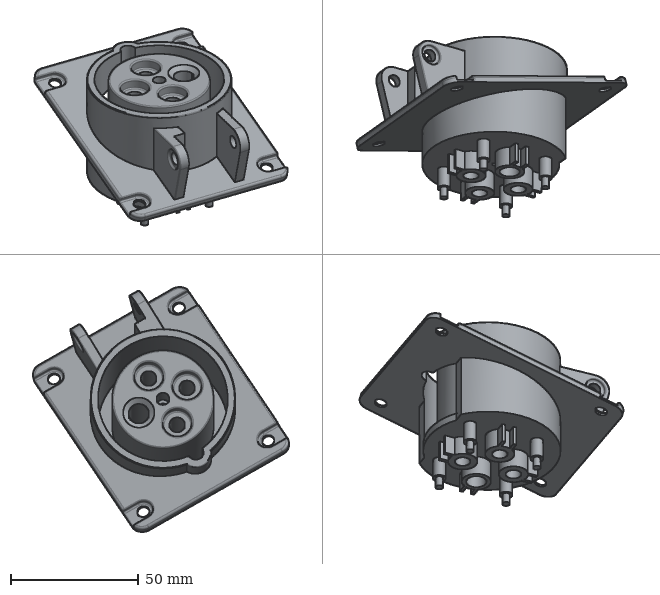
import cadquery as cq
import math


SHROUD_RADIUS = 28.5
SHROUD_BORE_RADIUS = 25.5
SHROUD_HEIGHT = 42.0
SHROUD_LIP_FILLET = 0.3
KEY_X = -25.4
KEY_OUTER_RADIUS = 6.1
KEY_SLOT_RADIUS = 6.1 / 2
LOWER_CUT_X = -20.7

PLATE_TILT = 15.0
PLATE_AXIS_Z = 21.0
PLATE_LENGTH = 87.6
PLATE_WIDTH = 71.0
PLATE_THICKNESS = 3.0
PLATE_OFFSET = 1.25
PLATE_CORNER_RADIUS = 5.0
PLATE_EDGE_FILLET = 1.0
SCREW_SPACING_LONG = 71.5
SCREW_SPACING_WIDE = 57.0
SCREW_HOLE_DIAMETER = 4.8
POCKET_WIDTH = 8.0
POCKET_FLOOR = 1.0
POCKET_RIM_FILLET = 0.4
POCKET_FLOOR_FILLET = 0.6

LUG_OUTER_Y = 15.6
LUG_THICKNESS = 4.1
LUG_EYE_X = 39.43
LUG_EYE_Z = 31.0
LUG_EYE_RADIUS = 6.0
LUG_HOLE_DIAMETER = 5.0
LUG_RECESS_DIAMETER = 8.2
LUG_RECESS_DEPTH = 1.0
LUG_RECESS_FILLET = 0.25
LUG_EDGE_FILLET = 0.3
LUG_BLOCK_END_X = 33.1
LUG_BLOCK_INNER_Y = 6.7

CORE_RADIUS = 20.0
CORE_TOP_Z = 41.7
CORE_RIM_FILLET = 0.5
BASE_DISC_THICKNESS = 3.2
CONTACT_CIRCLE_RADIUS = 11.0
CONTACT_BORE_DIAMETER = 6.1
CONTACT_RECESS_DIAMETER = 11.5
CONTACT_RECESS_DEPTH = 4.0
CONTACT_RIM_FILLET = 0.6
CONTACT_FLOOR_FILLET = 0.5
EARTH_BORE_DIAMETER = 8.0
EARTH_CONE_DIAMETER = 12.3
EARTH_CONE_DEPTH = 1.6
EARTH_KEY_WIDTH = 1.0
EARTH_KEY_REACH = 4.5
EARTH_KEY_DROP = 0.3
CENTRE_RECESS_DIAMETER = 5.0
CENTRE_RECESS_DEPTH = 10.0
CENTRE_HOLE_DIAMETER = 2.0

TUBE_DIAMETER = 11.5
TUBE_LENGTH = 8.0
FIN_REACH = 20.0
FIN_INNER_FACE = 1.75
FIN_THICKNESS = 1.3
PIN_OFFSET = 14.45
PIN_SHANK_DIAMETER = 5.0
PIN_SHANK_LENGTH = 8.3
PIN_TIP_DIAMETER = 3.0
PIN_LENGTH = 12.5

TILT = math.radians(PLATE_TILT)
OVERSIZE = 120.0

CONTACT_ANGLES = (0, 180, 270)
EARTH_ANGLE = 90


def cylinder(diameter, bottom, top, x=0, y=0):
    """Upright cylinder between two heights."""
    return cq.Workplane("XY", origin=(x, y, bottom)).circle(diameter / 2).extrude(top - bottom)


def tilt_onto_shroud(flat):
    """Place a solid modelled flat on the XY plane into the sloping frame of the plate."""
    return flat.rotate((0, 0, 0), (0, 1, 0), PLATE_TILT).translate((0, 0, PLATE_AXIS_Z))


def make_void():
    """Space above the base disc: the round bore and the key slot beside it."""
    bore = cylinder(2 * SHROUD_BORE_RADIUS, BASE_DISC_THICKNESS, SHROUD_HEIGHT)
    return bore.union(cylinder(2 * KEY_SLOT_RADIUS, BASE_DISC_THICKNESS, SHROUD_HEIGHT, KEY_X))


def make_shroud():
    """Hollow shroud with its key bump and base disc, open around the disc on the -X side."""
    drum = cylinder(2 * SHROUD_RADIUS, 0, SHROUD_HEIGHT)
    key_bump = cylinder(2 * KEY_OUTER_RADIUS, 0, SHROUD_HEIGHT, KEY_X)
    drum = drum.faces(">Z").edges().fillet(SHROUD_LIP_FILLET)
    key_bump = key_bump.faces(">Z").edges().fillet(SHROUD_LIP_FILLET)
    shroud = drum.union(key_bump)
    below_plate = tilt_onto_shroud(cq.Workplane("XY").rect(OVERSIZE, OVERSIZE).extrude(-OVERSIZE))
    beyond_cut = (
        cq.Workplane("XY")
        .box(OVERSIZE, OVERSIZE, 2 * OVERSIZE)
        .translate((LOWER_CUT_X - OVERSIZE / 2, 0, 0))
    )
    base_disc = cylinder(2 * SHROUD_BORE_RADIUS, 0, BASE_DISC_THICKNESS)
    return shroud.cut(make_void()).cut(below_plate.intersect(beyond_cut).cut(base_disc))


def screw_pocket(x, side):
    """Round-ended pocket around a screw hole, open toward one long edge of the flat plate."""
    radius = POCKET_WIDTH / 2
    y = side * SCREW_SPACING_WIDE / 2
    open_end = side * PLATE_WIDTH
    pocket = (
        cq.Workplane("XY", origin=(0, 0, POCKET_FLOOR))
        .moveTo(x - radius, open_end)
        .lineTo(x - radius, y)
        .threePointArc((x, y - side * radius), (x + radius, y))
        .lineTo(x + radius, open_end)
        .close()
        .extrude(PLATE_THICKNESS - POCKET_FLOOR)
    )
    return pocket.faces("<Z").edges().fillet(POCKET_FLOOR_FILLET)


def make_plate():
    """Sloping plate with rounded corners and top edge, screw pockets and screw holes."""
    plate = (
        cq.Workplane("XY")
        .rect(PLATE_LENGTH, PLATE_WIDTH)
        .extrude(PLATE_THICKNESS)
        .edges("|Z")
        .fillet(PLATE_CORNER_RADIUS)
        .faces(">Z")
        .edges()
        .fillet(PLATE_EDGE_FILLET)
    )
    for x in (-SCREW_SPACING_LONG / 2, SCREW_SPACING_LONG / 2):
        for side in (-1, 1):
            plate = plate.cut(screw_pocket(x, side))
            rim_y = side * (SCREW_SPACING_WIDE - POCKET_WIDTH) / 2
            rim = cq.selectors.NearestToPointSelector((x, rim_y, PLATE_THICKNESS))
            plate = plate.faces(">Z").edges(rim).fillet(POCKET_RIM_FILLET)
    screw_holes = (
        cq.Workplane("XY")
        .rect(SCREW_SPACING_LONG, SCREW_SPACING_WIDE, forConstruction=True)
        .vertices()
        .circle(SCREW_HOLE_DIAMETER / 2)
        .extrude(PLATE_THICKNESS)
    )
    return tilt_onto_shroud(plate.cut(screw_holes).translate((PLATE_OFFSET, 0, 0)))


def plate_mid_z(x):
    """Height of the plate's middle plane at a given X."""
    return PLATE_AXIS_Z + PLATE_THICKNESS / 2 / math.cos(TILT) - x * math.tan(TILT)


def make_lug(side):
    """Hinge lug whose far edge runs square to the plate, with an eye recessed on its outer face."""
    outer_y = side * LUG_OUTER_Y
    outer_face, inner_face = (">Y", "<Y") if side > 0 else ("<Y", ">Y")
    top = LUG_EYE_Z + LUG_EYE_RADIUS
    tangent_x = LUG_EYE_X + LUG_EYE_RADIUS * math.cos(TILT)
    tangent_z = LUG_EYE_Z - LUG_EYE_RADIUS * math.sin(TILT)
    arc_angle = (math.pi / 2 - TILT) / 2
    arc_x = LUG_EYE_X + LUG_EYE_RADIUS * math.cos(arc_angle)
    arc_z = LUG_EYE_Z + LUG_EYE_RADIUS * math.sin(arc_angle)
    drop = (tangent_z - plate_mid_z(tangent_x)) * math.cos(TILT)
    outer_plane = cq.Workplane("XZ", origin=(0, outer_y, 0))
    lug = (
        outer_plane
        .moveTo(0, plate_mid_z(0))
        .lineTo(0, top)
        .lineTo(LUG_EYE_X, top)
        .threePointArc((arc_x, arc_z), (tangent_x, tangent_z))
        .lineTo(tangent_x - drop * math.sin(TILT), tangent_z - drop * math.cos(TILT))
        .close()
        .extrude(side * LUG_THICKNESS)
    )
    lug = lug.faces(outer_face).edges(">Z").fillet(LUG_EDGE_FILLET)
    eye = outer_plane.center(LUG_EYE_X, LUG_EYE_Z)
    hole = eye.circle(LUG_HOLE_DIAMETER / 2).extrude(side * LUG_THICKNESS)
    recess = eye.circle(LUG_RECESS_DIAMETER / 2).extrude(side * LUG_RECESS_DEPTH)
    recess = recess.faces(inner_face).edges().fillet(LUG_RECESS_FILLET)
    lug = lug.cut(hole).cut(recess)
    return lug.faces(outer_face).edges(cq.selectors.RadiusNthSelector(0)).fillet(LUG_RECESS_FILLET)


def make_lug_block():
    """Block filling the corner between the shroud and the -Y lug."""
    top = LUG_EYE_Z + LUG_EYE_RADIUS
    return (
        cq.Workplane("XZ", origin=(0, -LUG_BLOCK_INNER_Y, 0))
        .moveTo(0, plate_mid_z(0))
        .lineTo(0, top)
        .lineTo(LUG_BLOCK_END_X, top)
        .lineTo(LUG_BLOCK_END_X, plate_mid_z(LUG_BLOCK_END_X))
        .close()
        .extrude(LUG_OUTER_Y - LUG_THICKNESS - LUG_BLOCK_INNER_Y)
    )


def make_core():
    """Contact core with a rounded rim."""
    return cylinder(2 * CORE_RADIUS, 0, CORE_TOP_Z).faces(">Z").edges().fillet(CORE_RIM_FILLET)


def make_solder_tube(angle):
    """Tube under one contact, with a pair of fins reaching outward."""
    tube = cylinder(TUBE_DIAMETER, -TUBE_LENGTH, 0, CONTACT_CIRCLE_RADIUS)
    fin_length = FIN_REACH - CONTACT_CIRCLE_RADIUS
    for side in (-1, 1):
        fin = cq.Workplane("XY").box(fin_length, FIN_THICKNESS, TUBE_LENGTH).translate(
            (
                CONTACT_CIRCLE_RADIUS + fin_length / 2,
                side * (FIN_INNER_FACE + FIN_THICKNESS / 2),
                -TUBE_LENGTH / 2,
            )
        )
        tube = tube.union(fin)
    return tube.rotate((0, 0, 0), (0, 0, 1), angle)


def make_pin(x, y):
    """Stepped mounting pin under the base disc."""
    shank = cylinder(PIN_SHANK_DIAMETER, -PIN_SHANK_LENGTH, 0, x, y)
    return shank.union(cylinder(PIN_TIP_DIAMETER, -PIN_LENGTH, 0, x, y))


def contact_cutter(angle):
    """Recessed through hole for one contact, with rounded recess rim and floor."""
    recess_radius = CONTACT_RECESS_DIAMETER / 2
    bore_radius = CONTACT_BORE_DIAMETER / 2
    floor = CORE_TOP_Z - CONTACT_RECESS_DEPTH
    profile = (
        cq.Workplane("XZ", origin=(CONTACT_CIRCLE_RADIUS, 0, 0))
        .moveTo(0, -TUBE_LENGTH)
        .lineTo(bore_radius, -TUBE_LENGTH)
        .lineTo(bore_radius, floor)
        .lineTo(recess_radius - CONTACT_FLOOR_FILLET, floor)
        .radiusArc((recess_radius, floor + CONTACT_FLOOR_FILLET), -CONTACT_FLOOR_FILLET)
        .lineTo(recess_radius, CORE_TOP_Z - CONTACT_RIM_FILLET)
        .radiusArc((recess_radius + CONTACT_RIM_FILLET, CORE_TOP_Z), CONTACT_RIM_FILLET)
        .lineTo(0, CORE_TOP_Z)
        .close()
    )
    return profile.revolve(360, (0, 0), (0, 1)).rotate((0, 0, 0), (0, 0, 1), angle)


def earth_cutter():
    """Countersunk through hole for the earth contact, with a keyway in its outer wall."""
    bore_radius = EARTH_BORE_DIAMETER / 2
    cone_radius = EARTH_CONE_DIAMETER / 2
    cone_floor = CORE_TOP_Z - EARTH_CONE_DEPTH
    profile = (
        cq.Workplane("XZ", origin=(CONTACT_CIRCLE_RADIUS, 0, 0))
        .moveTo(0, -TUBE_LENGTH)
        .lineTo(bore_radius, -TUBE_LENGTH)
        .lineTo(bore_radius, cone_floor)
        .lineTo(cone_radius, CORE_TOP_Z)
        .lineTo(0, CORE_TOP_Z)
        .close()
    )
    hole = profile.revolve(360, (0, 0), (0, 1))
    key_height = cone_floor - EARTH_KEY_DROP
    keyway = cq.Workplane("XY").box(EARTH_KEY_REACH, EARTH_KEY_WIDTH, key_height, centered=(False, True, False))
    keyway = keyway.translate((CONTACT_CIRCLE_RADIUS, 0, 0))
    return hole.union(keyway).rotate((0, 0, 0), (0, 0, 1), EARTH_ANGLE)


def drill_core(part):
    """Part with the contact, earth and centre holes drilled down through its core."""
    for angle in CONTACT_ANGLES:
        part = part.cut(contact_cutter(angle))
    part = part.cut(earth_cutter())
    part = part.cut(cylinder(CENTRE_RECESS_DIAMETER, CORE_TOP_Z - CENTRE_RECESS_DEPTH, CORE_TOP_Z))
    return part.cut(cylinder(CENTRE_HOLE_DIAMETER, 0, CORE_TOP_Z))


void = make_void()
attachments = (make_plate(), make_lug_block(), make_lug(-1), make_lug(1))
result = make_shroud()
for attachment in attachments:
    result = result.union(attachment.cut(void))
result = result.union(make_core())
for contact_angle in (*CONTACT_ANGLES, EARTH_ANGLE):
    result = result.union(make_solder_tube(contact_angle))
for pin_x in (-PIN_OFFSET, PIN_OFFSET):
    for pin_y in (-PIN_OFFSET, PIN_OFFSET):
        result = result.union(make_pin(pin_x, pin_y))
result = drill_core(result)